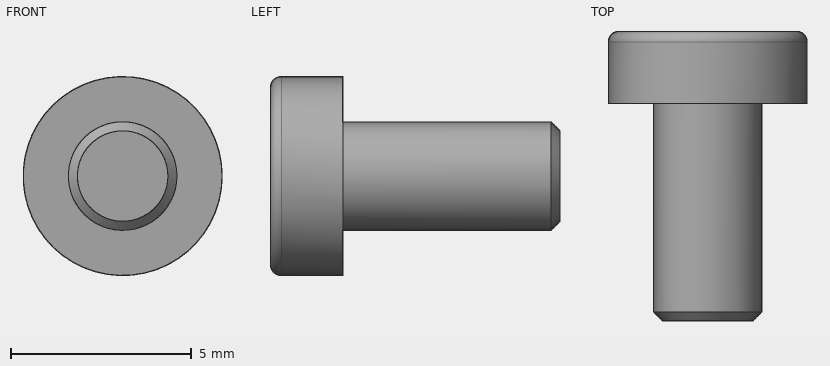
import cadquery as cq

HEAD_DIAMETER = 5.5
HEAD_HEIGHT = 2.0
HEAD_EDGE_RADIUS = 0.3

SHANK_DIAMETER = 3.0
SHANK_LENGTH = 6.0
TIP_CHAMFER = 0.25


def make_head():
    """Disc from Y = 0 to +Y with its outer end edge rounded."""
    disc = cq.Workplane("XZ").circle(HEAD_DIAMETER / 2).extrude(-HEAD_HEIGHT)
    return disc.faces(">Y").edges().fillet(HEAD_EDGE_RADIUS)


def make_shank():
    """Cylinder from Y = 0 to -Y with a chamfered tip."""
    cylinder = cq.Workplane("XZ").circle(SHANK_DIAMETER / 2).extrude(SHANK_LENGTH)
    return cylinder.faces("<Y").edges().chamfer(TIP_CHAMFER)


result = make_head().union(make_shank())